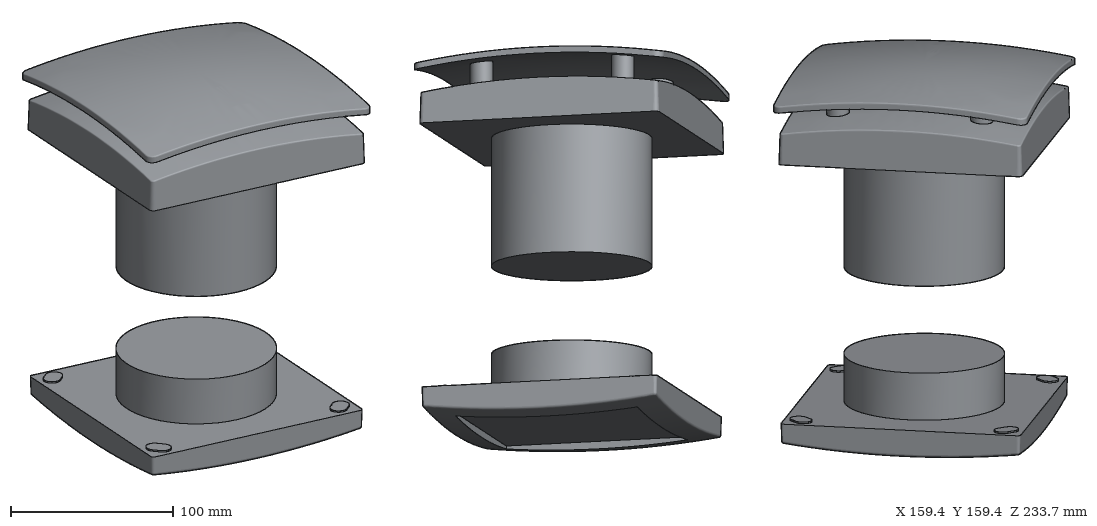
import cadquery as cq
import math

floor_top = 19.0
spigot_height = 30.0
duct_bottom = 104.0
duct_height = 80.0
housing_bottom = duct_bottom + duct_height
housing_height = 30.8
housing_crown = housing_bottom + housing_height
cover_crown = 233.7

duct_radius = 49.5

cover_side = 159.4
cover_corner_radius = 5.5
cover_thickness = 4.0
edge_fillet = 1.0

housing_side = 153.0
housing_corner_radius = 3.0
upper_dome_radius = 500.0
draft_angle = 2.0

post_diameter = 14.0
post_offset = 45.0

floor_side = 150.5
floor_corner_radius = 2.0
floor_fillet = 1.6
lower_dome_radius = 600.5

recess_side = 116.0
recess_top = 4.7
lower_dome_centre = math.sqrt(lower_dome_radius**2 - (recess_side / 2) ** 2)

pad_offset = 64.5
pad_length = 16.0
pad_width = 10.7
pad_height = 1.0


def rounded_prism(side, corner_radius, bottom, height, taper=0.0):
    """Square block with rounded corners whose sides lean inwards by the taper angle."""
    outline = cq.Sketch().rect(side, side).vertices().fillet(corner_radius)
    return cq.Workplane("XY").workplane(offset=bottom).placeSketch(outline).extrude(height, taper=taper)


def ball(radius, centre_height):
    """Sphere on the Z axis, used to cut dome surfaces."""
    return cq.Workplane("XY").sphere(radius).translate((0, 0, centre_height))


def make_cover():
    """Square plate between two parallel domes, with its upper rim rounded."""
    dome_centre = cover_crown - upper_dome_radius
    corner_drop = (cover_side / 2) ** 2 / upper_dome_radius
    depth = cover_thickness + corner_drop + edge_fillet
    blank = rounded_prism(cover_side, cover_corner_radius, cover_crown - depth, depth)
    domed = blank.intersect(ball(upper_dome_radius, dome_centre)).faces(">Z").edges().fillet(edge_fillet)
    return domed.cut(ball(upper_dome_radius, dome_centre - cover_thickness))


def make_housing():
    """Drafted square block with a domed top and a rounded rim."""
    blank = rounded_prism(housing_side, housing_corner_radius, housing_bottom, housing_height, draft_angle)
    domed = blank.intersect(ball(upper_dome_radius, housing_crown - upper_dome_radius))
    return domed.faces(">Z").edges().fillet(edge_fillet)


def make_posts():
    """Four round posts that end inside the cover."""
    post_bottom = housing_bottom + housing_height / 2
    underside_drop = post_offset**2 / upper_dome_radius
    post_top = cover_crown - cover_thickness / 2 - underside_drop
    return (
        cq.Workplane("XY")
        .workplane(offset=post_bottom)
        .rect(2 * post_offset, 2 * post_offset, forConstruction=True)
        .vertices()
        .circle(post_diameter / 2)
        .extrude(post_top - post_bottom)
    )


def make_duct(bottom, height):
    """Round stub of the duct, standing on the given level."""
    return cq.Workplane("XY").workplane(offset=bottom).circle(duct_radius).extrude(height)


def make_floor_plate():
    """Drafted square plate with a domed underside, a rounded lower rim and a square recess."""
    depth = floor_top + lower_dome_radius - lower_dome_centre
    blank = rounded_prism(floor_side, floor_corner_radius, floor_top, -depth, draft_angle)
    domed = blank.intersect(ball(lower_dome_radius, lower_dome_centre)).faces("<Z").edges().fillet(floor_fillet)
    recess = cq.Workplane("XY").workplane(offset=recess_top).rect(recess_side, recess_side).extrude(-depth)
    return domed.cut(recess)


def make_pad(quarter_turns):
    """Slot-shaped pad in one corner, lying across the diagonal."""
    pad = (
        cq.Workplane("XY")
        .workplane(offset=floor_top)
        .center(math.sqrt(2) * pad_offset, 0)
        .slot2D(pad_length, pad_width, 90)
        .extrude(pad_height)
    )
    return pad.rotate((0, 0, 0), (0, 0, 1), 45 + 90 * quarter_turns)


upper_unit = make_duct(duct_bottom, duct_height).union(make_housing()).union(make_posts()).union(make_cover())

lower_unit = make_floor_plate().union(make_duct(floor_top, spigot_height))
for corner in range(4):
    lower_unit = lower_unit.union(make_pad(corner))

result = cq.Compound.makeCompound([upper_unit.val(), lower_unit.val()])